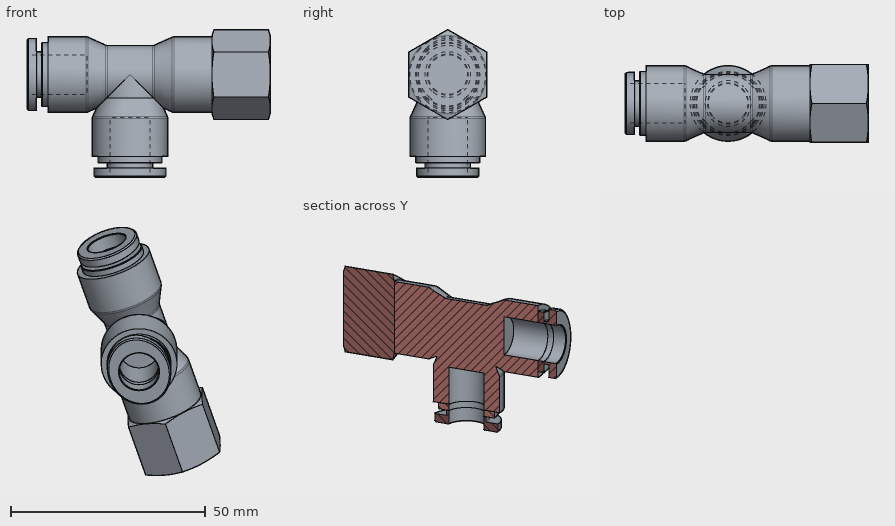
import cadquery as cq
import math


arm_diameter = 19.5
neck_diameter = 15.0
arm_length = 21.0
neck_half_length = 6.05
taper_end = 11.05
taper_fillet = 1.25

bore_diameter = 10.2
bore_floor = taper_end

collar_diameter = 16.5
collar_length = 1.7
collar_chamfer = 0.2

port_length = 26.4
flange_long_size = 18.55
flange_short_size = 16.05
flange_thickness = 2.4
flange_chamfer = 0.4
stem_diameter = 11.7
stem_fillet = 0.2
mouth_chamfer = 0.2

overall_length = 62.4
hex_across_flats = 20.0
hex_corner_chamfer = 0.5

collar_face = arm_length + collar_length
flange_back = port_length - flange_thickness
hex_across_corners = hex_across_flats / math.cos(math.pi / 6)
hex_end = overall_length - port_length
hex_length = hex_end - arm_length

LEFT, DOWN, RIGHT = 0, -90, 180
PORT_ANGLES = (LEFT, DOWN)


def turned(part, angle):
    """Turn a part built along -X about the Y axis."""
    return part.rotate((0, 0, 0), (0, 1, 0), angle)


def cylinder(diameter, near, far):
    """A cylinder on the -X axis between two distances from the tee centre."""
    return cq.Workplane("YZ", origin=(-far, 0, 0)).circle(diameter / 2).extrude(far - near)


def make_arm(fillet_start):
    """A round arm that widens from the neck to the full diameter.

    The rims of the taper that lie beyond fillet_start from the tee centre are rounded.
    """
    neck_radius = neck_diameter / 2
    arm_radius = arm_diameter / 2
    profile = (
        cq.Workplane("XZ")
        .polyline([
            (0, 0),
            (0, neck_radius),
            (-neck_half_length, neck_radius),
            (-taper_end, arm_radius),
            (-arm_length, arm_radius),
            (-arm_length, 0),
        ])
        .close()
    )
    arm = profile.revolve(360, (0, 0, 0), (1, 0, 0))
    fillet_end = (taper_end + arm_length) / 2
    fillet_zone = cq.selectors.BoxSelector(
        (-fillet_end, -arm_diameter, -arm_diameter),
        (-fillet_start, arm_diameter, arm_diameter),
    )
    return arm.edges(fillet_zone).edges("%CIRCLE").fillet(taper_fillet)


def make_tee_body():
    """Three arms, the downward one with a sharp neck, and a blind tube bore in each port."""
    run_arm = make_arm(neck_half_length / 2)
    branch_arm = make_arm((neck_half_length + taper_end) / 2)
    body = turned(run_arm, LEFT).union(turned(run_arm, RIGHT)).union(turned(branch_arm, DOWN))
    bore = cylinder(bore_diameter, bore_floor, arm_length)
    for angle in PORT_ANGLES:
        body = body.cut(turned(bore, angle))
    return body


def make_collar():
    """A ring on the arm face, chamfered on its outer rim."""
    ring = cylinder(collar_diameter, arm_length, collar_face)
    ring = ring.faces("<X").chamfer(collar_chamfer)
    return ring.cut(cylinder(bore_diameter, arm_length, collar_face))


def make_release_button():
    """An oval flange on a round stem that meets the collar, bored right through."""
    flange = (
        cq.Workplane("YZ", origin=(-port_length, 0, 0))
        .ellipse(flange_short_size / 2, flange_long_size / 2)
        .extrude(flange_thickness)
        .faces("<X")
        .chamfer(flange_chamfer)
    )
    button = flange.union(cylinder(stem_diameter, collar_face, flange_back))
    stem_root = cq.selectors.BoxSelector(
        (-flange_back - stem_fillet, -stem_diameter, -stem_diameter),
        (-flange_back + stem_fillet, stem_diameter, stem_diameter),
    )
    button = button.edges(stem_root).edges("%CIRCLE").fillet(stem_fillet)
    button = button.cut(cylinder(bore_diameter, collar_face, port_length))
    return button.faces("<X").edges("%CIRCLE").chamfer(mouth_chamfer)


def make_hex_end():
    """A hexagonal prism with corners up and down, chamfered conically at both ends."""
    prism = (
        cq.Workplane("YZ", origin=(arm_length, 0, 0))
        .polygon(6, hex_across_corners)
        .extrude(hex_length)
        .rotate((0, 0, 0), (1, 0, 0), 90)
    )
    face_radius = hex_across_flats / 2
    corner_radius = hex_across_corners / 2
    envelope = (
        cq.Workplane("XZ")
        .polyline([
            (arm_length, 0),
            (arm_length, face_radius),
            (arm_length + hex_corner_chamfer, corner_radius),
            (hex_end - hex_corner_chamfer, corner_radius),
            (hex_end, face_radius),
            (hex_end, 0),
        ])
        .close()
        .revolve(360, (0, 0, 0), (1, 0, 0))
    )
    return prism.intersect(envelope)


tee_body = make_tee_body()
hex_end_body = make_hex_end()
collars = [turned(make_collar(), angle) for angle in PORT_ANGLES]
release_buttons = [turned(make_release_button(), angle) for angle in PORT_ANGLES]

result = cq.Compound.makeCompound([
    tee_body.val(),
    hex_end_body.val(),
    *[collar.val() for collar in collars],
    *[button.val() for button in release_buttons],
])